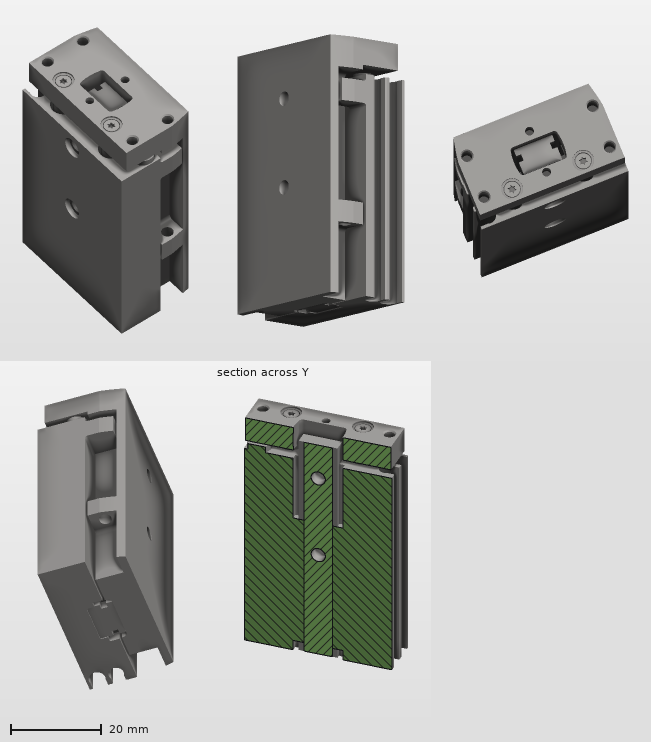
import cadquery as cq
import math

HEIGHT = 58
WIDTH = 35.0
DEPTH = 20.0
PITCH = 10.0

SLIDE_HALF_WIDTH = 17.2
SLIDE_REAR_HALF_WIDTH = 16.05
SIDE_BULGE = 0.07
SIDE_BEND_Y = 14.4
BACK_PLATE_Y = 18.1
WEB_FRONT_Y = 11.6
WEB_LEFT_WIDTH = 10.95
WEB_RIGHT_WIDTH = 11.85
POCKET_FILLET = 0.9
PLATE_FRONT_Y = 1.55
PLATE_BOTTOM = 52.0
CAP_BOTTOM = 51.0
RIB_BOTTOM = 16.05
RIB_TOP = 21.0
RIB_HOLE_DIAMETER = 2.8

CORNER_HOLE_X = 1.5 * PITCH
CORNER_HOLE_Y = [0.5 * PITCH, 1.5 * PITCH]
CORNER_HOLE_DIAMETER = 2.45
CORNER_SINK_DIAMETER = 3.0
CORNER_HOLE_DEPTH = 5.0
PIN_HOLE_DIAMETER = 2.0
PIN_HOLE_DEPTH = 3.5

WINDOW_FRONT_Y = 6.25
WINDOW_REAR_Y = 13.0
WINDOW_END_HALF_WIDTH = 5.4
WINDOW_MID_HALF_WIDTH = 5.85
WINDOW_CORNER_RADIUS = 0.8

RAIL_HALF_WIDTH = 4.6
RAIL_FRONT_Y = 6.95
RAIL_BOTTOM = 0.25
RAIL_TOP = 54.75
RAIL_GROOVE_Y = [10.0, 11.5]
RAIL_GROOVE_DEPTH = 1.15

ROD_X = 8.45
ROD_Y = 4.35
ROD_DIAMETER = 4.6
ROD_BORE_DIAMETER = 6.0
ROD_BORE_DEPTH = 5.0
SCREW_COUNTERBORE_DIAMETER = 4.8
SCREW_GAP_DIAMETER = 3.8
SCREW_HEAD_DIAMETER = 3.5
SCREW_HEAD_DROP = 0.4
SCREW_GAP_DEPTH = 1.0
TORX_OUTER_DIAMETER = 2.0
TORX_INNER_DIAMETER = 1.3
TORX_LOBES = 6
TORX_DEPTH = 0.85

HOUSING_TOP = 50.0
HOUSING_REAR_Y = 11
EAR_BOTTOM = 43.4
EAR_TOP = 48.45
EAR_REAR_Y = 17.45
EAR_REAR_HALF_WIDTH = 16.95
EAR_INNER_X = 11.9
EAR_FILLET = 0.6
CARRIAGE_BOTTOM = 2.45
CARRIAGE_TOP = 34.45
CARRIAGE_FRONT_Y = 8.75

FRONT_SLOT_Y = 2.5
FRONT_SLOT_DIAMETER = 3.8
FRONT_SLOT_MOUTH = 3.6
REAR_SLOT_Y = 6.95
REAR_SLOT_DIAMETER = 3.5
REAR_SLOT_MOUTH = 3.0
SLOT_CENTRE_INSET = 2.4
REAR_SLOT_LEAD_WIDTH = 0.4
REAR_SLOT_LEAD_DEPTH = 0.085

STOP_X = 14.5
STOP_Y = 8.25
STOP_DIAMETER = 5.5
STOP_TOP = 51.45
STOP_TIP_DIAMETER = 2.8
STOP_TIP_FLAT_DIAMETER = 1.75
STOP_TIP_HEIGHT = 0.35

MOUNT_HOLE_DROP = 4.0
MOUNT_HOLE_Z = [HOUSING_TOP - MOUNT_HOLE_DROP - 2 * PITCH, HOUSING_TOP - MOUNT_HOLE_DROP]
MOUNT_HOLE_DIAMETER = 3.25
MOUNT_BORE_DIAMETER = 5.0
MOUNT_BORE_DEPTH = 1.2


def block(x, y, z):
    """Box from three (low, high) ranges."""
    size = (x[1] - x[0], y[1] - y[0], z[1] - z[0])
    return cq.Workplane("XY").box(*size, centered=False).translate((x[0], y[0], z[0]))


def cylinder(x, y, diameter, bottom, top):
    return cq.Workplane("XY", origin=(x, y, bottom)).circle(diameter / 2).extrude(top - bottom)


def cone(x, y, bottom_diameter, top_diameter, bottom, top):
    solid = cq.Solid.makeCone(
        bottom_diameter / 2, top_diameter / 2, top - bottom, pnt=cq.Vector(x, y, bottom)
    )
    return cq.Workplane(solid)


def mirrored_in_x(shape):
    return shape.union(shape.mirror("YZ"))


def bored_along_y(body, diameter, depth):
    """Bore the mounting hole positions from the front face to the given depth."""
    for z in MOUNT_HOLE_Z:
        drill = cq.Workplane("XZ", origin=(0, 0, z)).circle(diameter / 2).extrude(-depth)
        body = body.cut(drill)
    return body


def rail_bar(bottom, top):
    """Guide rail with one ball groove along each side."""
    width = (-RAIL_HALF_WIDTH, RAIL_HALF_WIDTH)
    bar = block(width, (RAIL_FRONT_Y, WINDOW_REAR_Y), (bottom, top))
    groove = block((RAIL_HALF_WIDTH - RAIL_GROOVE_DEPTH, RAIL_HALF_WIDTH), RAIL_GROOVE_Y, (bottom, top))
    return bar.cut(mirrored_in_x(groove))


def slide_blank():
    """Full-height prism with the slide's outline seen from above."""
    mid_x = (SLIDE_HALF_WIDTH + SLIDE_REAR_HALF_WIDTH) / 2 + SIDE_BULGE
    mid_y = (SIDE_BEND_Y + DEPTH) / 2
    return (
        cq.Workplane("XY")
        .moveTo(-SLIDE_HALF_WIDTH, PLATE_FRONT_Y)
        .lineTo(SLIDE_HALF_WIDTH, PLATE_FRONT_Y)
        .lineTo(SLIDE_HALF_WIDTH, SIDE_BEND_Y)
        .threePointArc((mid_x, mid_y), (SLIDE_REAR_HALF_WIDTH, DEPTH))
        .lineTo(-SLIDE_REAR_HALF_WIDTH, DEPTH)
        .threePointArc((-mid_x, mid_y), (-SLIDE_HALF_WIDTH, SIDE_BEND_Y))
        .close()
        .extrude(HEIGHT)
    )


def side_pockets(web_width):
    """Pockets above and below the +X rib, between the web and the outer side."""
    span = (web_width, WIDTH / 2)
    depth = (WEB_FRONT_Y, BACK_PLATE_Y)
    upper = block(span, depth, (RIB_TOP, CAP_BOTTOM)).edges("|Y and <X").fillet(POCKET_FILLET)
    lower = block(span, depth, (0, RIB_BOTTOM)).edges("|Y and <X and >Z").fillet(POCKET_FILLET)
    return upper.union(lower)


def rail_window(bottom, top):
    """Bar with the outline of the opening around the rail."""
    mid_y = (WINDOW_FRONT_Y + WINDOW_REAR_Y) / 2
    return (
        cq.Workplane("XY", origin=(0, 0, bottom))
        .moveTo(-WINDOW_END_HALF_WIDTH, WINDOW_FRONT_Y)
        .lineTo(WINDOW_END_HALF_WIDTH, WINDOW_FRONT_Y)
        .threePointArc((WINDOW_MID_HALF_WIDTH, mid_y), (WINDOW_END_HALF_WIDTH, WINDOW_REAR_Y))
        .lineTo(-WINDOW_END_HALF_WIDTH, WINDOW_REAR_Y)
        .threePointArc((-WINDOW_MID_HALF_WIDTH, mid_y), (-WINDOW_END_HALF_WIDTH, WINDOW_FRONT_Y))
        .close()
        .extrude(top - bottom)
        .edges("|Z")
        .fillet(WINDOW_CORNER_RADIUS)
    )


def end_plate_holes():
    sink_depth = (CORNER_SINK_DIAMETER - CORNER_HOLE_DIAMETER) / 2
    holes = cq.Workplane("XY")
    for y in CORNER_HOLE_Y:
        for x in (-CORNER_HOLE_X, CORNER_HOLE_X):
            holes = holes.add(cylinder(x, y, CORNER_HOLE_DIAMETER, HEIGHT - CORNER_HOLE_DEPTH, HEIGHT))
            holes = holes.add(
                cone(x, y, CORNER_HOLE_DIAMETER, CORNER_SINK_DIAMETER, HEIGHT - sink_depth, HEIGHT)
            )
        holes = holes.add(cylinder(0, y, PIN_HOLE_DIAMETER, HEIGHT - PIN_HOLE_DEPTH, HEIGHT))
    return holes.combine()


def torx_socket(x, y, top):
    """Six-lobed star socket, its lobes smoothly curved."""
    mean_radius = (TORX_OUTER_DIAMETER + TORX_INNER_DIAMETER) / 4
    wave = (TORX_OUTER_DIAMETER - TORX_INNER_DIAMETER) / 4
    points = []
    for step in range(2 * TORX_LOBES):
        angle = math.pi / 2 + step * math.pi / TORX_LOBES
        radius = mean_radius + wave * math.cos(step * math.pi)
        points.append((radius * math.cos(angle), radius * math.sin(angle)))
    star = cq.Workplane("XY", origin=(x, y, top - TORX_DEPTH)).spline(points, periodic=True).close()
    return star.extrude(TORX_DEPTH)


def screw_recess(x):
    """Counterbore, ring gap and socket that outline a rod's screw head in the end plate."""
    head_top = HEIGHT - SCREW_HEAD_DROP
    gap_bottom = HEIGHT - SCREW_GAP_DEPTH
    counterbore = cylinder(x, ROD_Y, SCREW_COUNTERBORE_DIAMETER, head_top, HEIGHT)
    gap = cylinder(x, ROD_Y, SCREW_GAP_DIAMETER, gap_bottom, head_top)
    gap = gap.cut(cylinder(x, ROD_Y, SCREW_HEAD_DIAMETER, gap_bottom, head_top))
    return counterbore.union(gap).union(torx_socket(x, ROD_Y, head_top))


def make_slide():
    body = slide_blank()
    full_width = (-WIDTH / 2, WIDTH / 2)
    body = body.cut(block(full_width, (PLATE_FRONT_Y, WEB_FRONT_Y), (0, PLATE_BOTTOM)))
    body = body.cut(side_pockets(WEB_RIGHT_WIDTH))
    body = body.cut(side_pockets(WEB_LEFT_WIDTH).mirror("YZ"))
    body = body.cut(rail_window(0, HEIGHT))
    body = body.union(rail_bar(RAIL_BOTTOM, RAIL_TOP))
    body = body.cut(end_plate_holes())
    for x in (-ROD_X, ROD_X):
        body = body.union(cylinder(x, ROD_Y, ROD_DIAMETER, HOUSING_TOP - ROD_BORE_DEPTH, PLATE_BOTTOM))
        body = body.cut(screw_recess(x))
    for x in (-CORNER_HOLE_X, CORNER_HOLE_X):
        body = body.cut(cylinder(x, CORNER_HOLE_Y[1], RIB_HOLE_DIAMETER, RIB_BOTTOM, RIB_TOP))
    return bored_along_y(body, MOUNT_HOLE_DIAMETER, DEPTH)


def ears():
    """Stop ears that reach back into the slide's upper side pockets."""
    mid_x = (WIDTH / 2 + EAR_REAR_HALF_WIDTH) / 2 + SIDE_BULGE / 2
    mid_y = (SIDE_BEND_Y + EAR_REAR_Y) / 2
    ear = (
        cq.Workplane("XY", origin=(0, 0, EAR_BOTTOM))
        .moveTo(EAR_INNER_X, HOUSING_REAR_Y)
        .lineTo(WIDTH / 2, HOUSING_REAR_Y)
        .lineTo(WIDTH / 2, SIDE_BEND_Y)
        .threePointArc((mid_x, mid_y), (EAR_REAR_HALF_WIDTH, EAR_REAR_Y))
        .lineTo(EAR_INNER_X, EAR_REAR_Y)
        .close()
        .extrude(EAR_TOP - EAR_BOTTOM)
    )
    root = block(
        (EAR_INNER_X, WIDTH / 2),
        (HOUSING_REAR_Y, HOUSING_REAR_Y + EAR_FILLET),
        (EAR_BOTTOM - EAR_FILLET, EAR_TOP + EAR_FILLET),
    )
    for z in (EAR_BOTTOM - EAR_FILLET, EAR_TOP + EAR_FILLET):
        hollow = (
            cq.Workplane("YZ", origin=(EAR_INNER_X, HOUSING_REAR_Y + EAR_FILLET, z))
            .circle(EAR_FILLET)
            .extrude(WIDTH / 2 - EAR_INNER_X)
        )
        root = root.cut(hollow)
    return mirrored_in_x(ear.union(root))


def sensor_slot(y, diameter, mouth):
    """Round-bottomed slot along the -X side, open through a parallel mouth."""
    centre_x = -WIDTH / 2 + SLOT_CENTRE_INSET
    opening = block((-WIDTH / 2, centre_x), (y - mouth / 2, y + mouth / 2), (0, HOUSING_TOP))
    return opening.union(cylinder(centre_x, y, diameter, 0, HOUSING_TOP))


def slot_lead_in(y, mouth):
    half = mouth / 2
    side = -WIDTH / 2
    outline = [
        (side, y - half - REAR_SLOT_LEAD_WIDTH),
        (side + REAR_SLOT_LEAD_DEPTH, y - half),
        (side + REAR_SLOT_LEAD_DEPTH, y + half),
        (side, y + half + REAR_SLOT_LEAD_WIDTH),
    ]
    return cq.Workplane("XY").polyline(outline).close().extrude(HOUSING_TOP)


def stop():
    """Stop cylinder with a conical tip, standing on the housing's top."""
    barrel = cylinder(STOP_X, STOP_Y, STOP_DIAMETER, HOUSING_TOP, STOP_TOP)
    tip_top = STOP_TOP + STOP_TIP_HEIGHT
    return barrel.union(
        cone(STOP_X, STOP_Y, STOP_TIP_DIAMETER, STOP_TIP_FLAT_DIAMETER, STOP_TOP, tip_top)
    )


def guide_bar(bottom, top):
    """Rear part of the rail window, which holds the guide carriage."""
    width = (-WIDTH / 2, WIDTH / 2)
    return rail_window(bottom, top).intersect(block(width, (CARRIAGE_FRONT_Y, DEPTH), (bottom, top)))


def make_housing():
    body = block((-WIDTH / 2, WIDTH / 2), (0, HOUSING_REAR_Y), (0, HOUSING_TOP))
    body = body.union(ears())
    body = body.cut(guide_bar(0, HOUSING_TOP))
    body = body.union(guide_bar(CARRIAGE_BOTTOM, CARRIAGE_TOP))
    body = body.cut(rail_bar(0, HOUSING_TOP))
    body = body.cut(sensor_slot(FRONT_SLOT_Y, FRONT_SLOT_DIAMETER, FRONT_SLOT_MOUTH))
    body = body.cut(sensor_slot(REAR_SLOT_Y, REAR_SLOT_DIAMETER, REAR_SLOT_MOUTH))
    body = body.cut(slot_lead_in(REAR_SLOT_Y, REAR_SLOT_MOUTH))
    for x in (-ROD_X, ROD_X):
        body = body.cut(cylinder(x, ROD_Y, ROD_BORE_DIAMETER, HOUSING_TOP - ROD_BORE_DEPTH, HOUSING_TOP))
    body = body.union(stop())
    body = bored_along_y(body, MOUNT_HOLE_DIAMETER, DEPTH)
    return bored_along_y(body, MOUNT_BORE_DIAMETER, MOUNT_BORE_DEPTH)


slide = make_slide()
housing = make_housing()
result = cq.Compound.makeCompound([slide.val(), housing.val()])